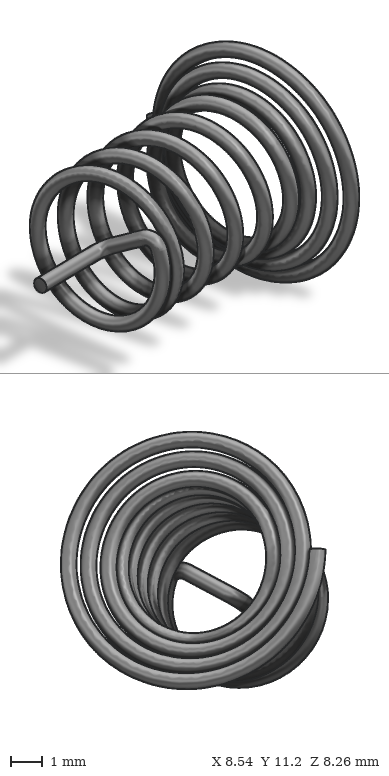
import cadquery as cq
import math

WIRE_DIAMETER = 0.51
COIL_RADIUS = 2.5
COIL_PITCH = 1.5
CONE_PITCH = 0.39
CONE_GROWTH = 0.55

START_RAMP_END = 0.1
COIL_END = 3.9
CONE_START = 5
SPRING_END = 8
POINTS_PER_TURN = 8

ARM_ANGLE = 30.0
ARM_RISE = 0.18
HOOK_RADIUS = 0.4
ELBOW_RADIUS = 0.45
LEAD_TIP = -3.01


def coil_height(turn):
    """Integrate the pitch: a short rise, a constant stretch, a fall, then the cone."""
    height = COIL_PITCH * min(turn, START_RAMP_END) ** 2 / (2 * START_RAMP_END)
    height += COIL_PITCH * max(0, min(turn, COIL_END) - START_RAMP_END)
    fall_length = CONE_START - COIL_END
    fall_turn = max(0, min(turn, CONE_START) - COIL_END)
    pitch_drop = COIL_PITCH - CONE_PITCH
    height += COIL_PITCH * fall_turn - pitch_drop * fall_turn ** 2 / (2 * fall_length)
    return height + CONE_PITCH * max(0, turn - CONE_START)


def coil_point(turn):
    angle = 2 * math.pi * turn
    radius = COIL_RADIUS + CONE_GROWTH * max(0, turn - CONE_START)
    return cq.Vector(-radius * math.cos(angle), coil_height(turn), radius * math.sin(angle))


def radial(degrees):
    """Unit vector across the spring axis."""
    angle = math.radians(degrees)
    return cq.Vector(math.cos(angle), 0, math.sin(angle))


def lead_edges():
    """Lead along the axis, elbow, sloping arm, hook and flat turn, in that order."""
    hook_centre_distance = COIL_RADIUS - HOOK_RADIUS
    hook_turn = math.asin(HOOK_RADIUS / hook_centre_distance)
    hook_angle = ARM_ANGLE - math.degrees(hook_turn)
    arm_end = radial(ARM_ANGLE) * (hook_centre_distance * math.cos(hook_turn))
    flat_start = radial(hook_angle) * COIL_RADIUS

    corner = cq.Vector(0, ARM_RISE, 0)
    arm_direction = (arm_end - corner).normalized()
    bend_angle = math.pi / 2 + math.atan2(ARM_RISE, arm_end.Length)
    setback = ELBOW_RADIUS * math.tan(bend_angle / 2)
    lead_top = corner - cq.Vector(0, setback, 0)
    arm_start = corner + arm_direction * setback

    flat_middle = radial((hook_angle - 180) / 2) * COIL_RADIUS
    hook_tangents = [arm_direction, radial(hook_angle - 90)]
    hook_middle = radial(hook_angle) * hook_centre_distance
    hook_middle += radial((ARM_ANGLE + 90 + hook_angle) / 2) * HOOK_RADIUS
    return [
        cq.Edge.makeLine(cq.Vector(0, LEAD_TIP, 0), lead_top),
        cq.Edge.makeTangentArc(lead_top, cq.Vector(0, 1, 0), arm_start),
        cq.Edge.makeLine(arm_start, arm_end),
        cq.Edge.makeSpline([arm_end, hook_middle, flat_start], tangents=hook_tangents),
        cq.Edge.makeThreePointArc(flat_start, flat_middle, coil_point(0)),
    ]


def coil_velocity(turn):
    """Change of the coil point per turn."""
    step = 0.0001
    return (coil_point(turn + step) - coil_point(turn - step)) * (0.5 / step)


def coil_edge():
    """Smooth curve through the whole coil, starting flush with the flat turn."""
    turns = [i / POINTS_PER_TURN for i in range(SPRING_END * POINTS_PER_TURN + 1)]
    return cq.Edge.makeSpline(
        [coil_point(turn) for turn in turns],
        tangents=[coil_velocity(0), coil_velocity(SPRING_END)],
        parameters=turns,
        scale=False,
    )


def wire_along(edges):
    """Round wire swept along a chain of edges."""
    path = cq.Wire.assembleEdges(edges)
    section = cq.Plane(origin=edges[0].startPoint(), normal=edges[0].tangentAt(0))
    return cq.Workplane(section).circle(WIRE_DIAMETER / 2).sweep(cq.Workplane(path))


lead = wire_along(lead_edges())
coil = wire_along([coil_edge()])
result = lead.union(coil)